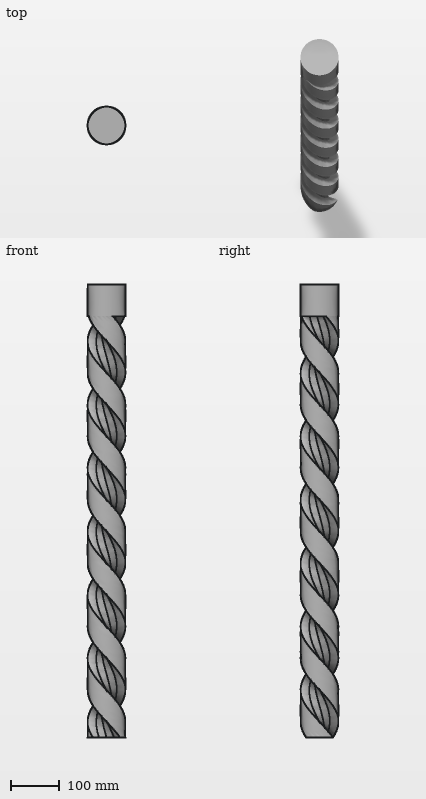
import cadquery as cq
import math

length = 932.0
diameter = 78.0
shank_length = 65.0
pitch = 261.0
web_thickness = 23.0
crease_web = 29.0
flute_opening = 90.0
floor_width = 31.0

radius = diameter / 2
fluted_length = length - shank_length
twist = -360.0 * fluted_length / pitch


def rim_point(angle):
    """Point on the outer circle at an angle in degrees from +X."""
    turn = math.radians(angle)
    return (radius * math.cos(turn), radius * math.sin(turn))


def fluted_section():
    """Cross-section with two cylindrical lands on X and two tapering V-floored flutes on Y."""
    half_land = (180.0 - flute_opening) / 2
    crease_x = floor_width / 2
    crease_y = crease_web / 2
    valley_y = web_thickness / 2
    return (
        cq.Workplane("XY")
        .moveTo(*rim_point(-half_land))
        .threePointArc(rim_point(0), rim_point(half_land))
        .lineTo(crease_x, crease_y)
        .lineTo(0, valley_y)
        .lineTo(-crease_x, crease_y)
        .lineTo(*rim_point(180 - half_land))
        .threePointArc(rim_point(180), rim_point(180 + half_land))
        .lineTo(-crease_x, -crease_y)
        .lineTo(0, -valley_y)
        .lineTo(crease_x, -crease_y)
        .close()
    )


fluted_body = fluted_section().twistExtrude(fluted_length, twist)
shank = cq.Workplane("XY").workplane(offset=fluted_length).circle(radius).extrude(shank_length)

result = fluted_body.union(shank)